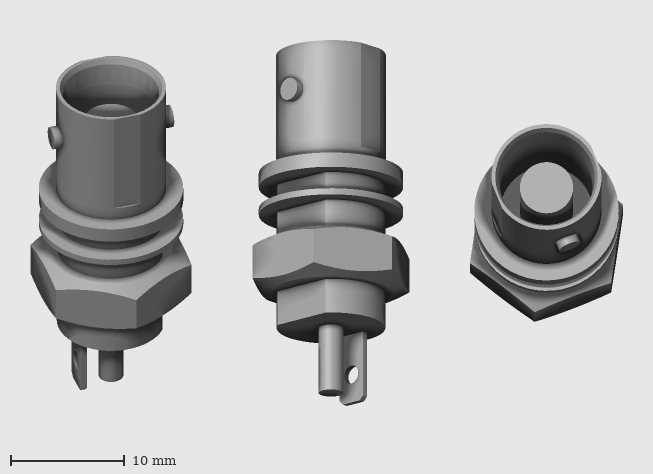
import cadquery as cq
import math

TOTAL_HEIGHT = 31.22
BARREL_BOTTOM = 6.25
NUT_BOTTOM = 9.35
NUT_TOP = 14.05
WASHER_BOTTOM = 16.6
WASHER_TOP = 17.17
FLANGE_BOTTOM = 19.15
FLANGE_TOP = 20.45

BARREL_RADIUS = 4.78
BARREL_FLAT_Y = 3.85

FLANGE_DIAMETER = 12.7
FLANGE_RADIUS = FLANGE_DIAMETER / 2
WASHER_RADIUS = FLANGE_RADIUS

NUT_CORNER_RADIUS = 7.25
NUT_FACE_RADIUS = 5.43
NUT_CHAMFER_HEIGHT = 0.85

SLEEVE_RADIUS = 4.85
SLEEVE_FLAT_X = 4.68
SLEEVE_FLAT_BOTTOM = 21.67

LUG_RADIUS = 1.0
LUG_TIP_Y = 5.53
LUG_Z = 26.97

MOUTH_RADIUS = 4.5
TAPER_TOP_RADIUS = 4.25
BORE_RADIUS = 4.05
MOUTH_DEPTH = 0.5
TAPER_END_DEPTH = 2.5

POST_RADIUS = 2.35
POST_TOP = TOTAL_HEIGHT - 3.4

CONTACT_RADIUS = 1.1
CONTACT_BOTTOM = 0.28

TAB_WIDTH = 2.75
TAB_FRONT_Y = -3.2
TAB_THICKNESS = 0.53
TAB_CHAMFER = 0.37
TAB_HOLE_RADIUS = 0.8
TAB_HOLE_Z = 2.55


def cylinder(radius, bottom, top):
    return cq.Workplane("XY").workplane(offset=bottom).circle(radius).extrude(top - bottom)


def make_barrel():
    """Rear barrel cut to a D section."""
    barrel = cylinder(BARREL_RADIUS, BARREL_BOTTOM, FLANGE_BOTTOM)
    height = FLANGE_BOTTOM - BARREL_BOTTOM
    depth = BARREL_RADIUS + BARREL_FLAT_Y
    keep = cq.Workplane("XY").box(2 * BARREL_RADIUS, depth, height, centered=(True, False, False))
    return barrel.intersect(keep.translate((0, -BARREL_RADIUS, BARREL_BOTTOM)))


def make_nut():
    """Hexagon with corners on X, its corners chamfered by a cone at both ends."""
    hexagon = (
        cq.Workplane("XY").workplane(offset=NUT_BOTTOM)
        .polygon(6, 2 * NUT_CORNER_RADIUS)
        .extrude(NUT_TOP - NUT_BOTTOM)
    )
    envelope = (
        cq.Workplane("XZ")
        .moveTo(0, NUT_BOTTOM)
        .lineTo(NUT_FACE_RADIUS, NUT_BOTTOM)
        .lineTo(NUT_CORNER_RADIUS, NUT_BOTTOM + NUT_CHAMFER_HEIGHT)
        .lineTo(NUT_CORNER_RADIUS, NUT_TOP - NUT_CHAMFER_HEIGHT)
        .lineTo(NUT_FACE_RADIUS, NUT_TOP)
        .lineTo(0, NUT_TOP)
        .close()
        .revolve(360, (0, 0, 0), (0, 1, 0))
    )
    return hexagon.intersect(envelope)


def make_sleeve():
    """Front sleeve with its side flats and bayonet lugs, before boring."""
    sleeve = cylinder(SLEEVE_RADIUS, FLANGE_TOP, TOTAL_HEIGHT)
    flat_height = TOTAL_HEIGHT - SLEEVE_FLAT_BOTTOM
    flat_depth = SLEEVE_RADIUS - SLEEVE_FLAT_X
    flat_width = 2 * math.sqrt(SLEEVE_RADIUS**2 - SLEEVE_FLAT_X**2)
    for side in (-1, 1):
        cutter = cq.Workplane("XY").box(flat_depth, flat_width, flat_height, centered=(True, True, False))
        flat_x = side * (SLEEVE_FLAT_X + flat_depth / 2)
        sleeve = sleeve.cut(cutter.translate((flat_x, 0, SLEEVE_FLAT_BOTTOM)))
    lugs = (
        cq.Workplane("XZ").center(0, LUG_Z)
        .circle(LUG_RADIUS)
        .extrude(LUG_TIP_Y, both=True)
    )
    return sleeve.union(lugs)


def make_socket_cutter():
    """Space inside the sleeve, down to the flange."""
    return (
        cq.Workplane("XZ")
        .moveTo(0, FLANGE_TOP)
        .lineTo(BORE_RADIUS, FLANGE_TOP)
        .lineTo(BORE_RADIUS, TOTAL_HEIGHT - TAPER_END_DEPTH)
        .lineTo(TAPER_TOP_RADIUS, TOTAL_HEIGHT - MOUTH_DEPTH)
        .lineTo(MOUTH_RADIUS, TOTAL_HEIGHT)
        .lineTo(0, TOTAL_HEIGHT)
        .close()
        .revolve(360, (0, 0, 0), (0, 1, 0))
    )


def make_ground_tab():
    """Flat solder tab with chamfered tip corners and a round hole."""
    tab = cq.Workplane("XY").box(TAB_WIDTH, TAB_THICKNESS, BARREL_BOTTOM, centered=(True, False, False))
    tab = tab.faces("<Z").edges("|Y").chamfer(TAB_CHAMFER)
    hole = (
        cq.Workplane("XZ").center(0, TAB_HOLE_Z)
        .circle(TAB_HOLE_RADIUS)
        .extrude(-TAB_THICKNESS)
    )
    return tab.cut(hole).translate((0, TAB_FRONT_Y, 0))


def make_contact():
    """Straight round pin through the whole connector."""
    return cylinder(CONTACT_RADIUS, CONTACT_BOTTOM, POST_TOP)


def make_housing():
    """Everything around the centre contact, as one solid."""
    return (
        make_sleeve()
        .cut(make_socket_cutter())
        .union(cylinder(FLANGE_RADIUS, FLANGE_BOTTOM, FLANGE_TOP))
        .union(cylinder(POST_RADIUS, FLANGE_TOP, POST_TOP))
        .union(make_barrel())
        .union(cylinder(WASHER_RADIUS, WASHER_BOTTOM, WASHER_TOP))
        .union(make_nut())
        .union(make_ground_tab())
        .cut(make_contact())
    )


housing = make_housing()
contact = make_contact()
result = cq.Compound.makeCompound([housing.solids().val(), contact.val()])